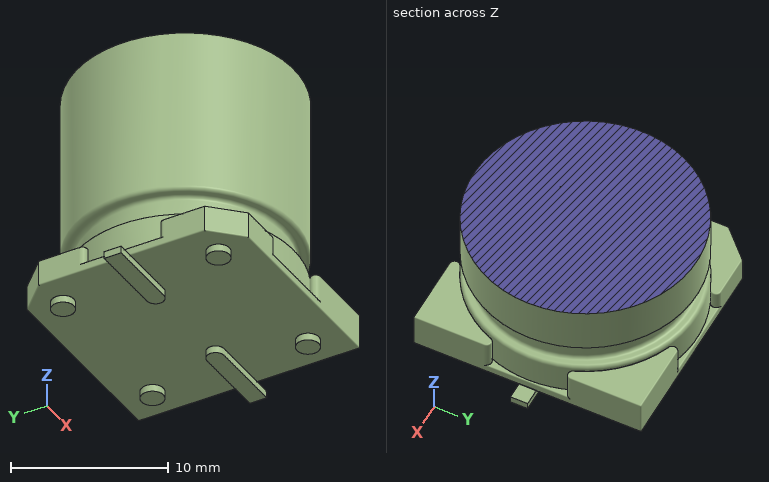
import cadquery as cq
import math

total_length = 18.6
total_height = 17.5
base_side = 16.3
can_diameter = 16.0
neck_diameter = 14.4
can_round = 0.3

base_bottom = 0.52
floor_top = 1.13
low_corner_top = 2.45
high_corner_top = 3.1
corner_chamfer = 2.05
edge_round = 0.1
tip_radius = 0.37

rim_top = 3.42
shoulder_bottom = 5.19

lead_width = 1.25
lead_inner_end = 3.22
foot_diameter = 1.6
foot_offset = 5.71

half_side = base_side / 2
can_radius = can_diameter / 2
neck_radius = neck_diameter / 2

tip_distance = half_side - tip_radius
tip_offset = math.sqrt((can_radius + tip_radius) ** 2 - tip_distance ** 2)


def make_can():
    """Revolved can: bottom rim, crimped neck and main body with rounded edges."""
    inset = can_round * (1 - math.sqrt(0.5))
    profile = (
        cq.Workplane("XZ")
        .moveTo(0, floor_top)
        .lineTo(can_radius, floor_top)
        .lineTo(can_radius, rim_top - can_round)
        .threePointArc((can_radius - inset, rim_top - inset), (can_radius - can_round, rim_top))
        .lineTo(neck_radius + can_round, rim_top)
        .threePointArc((neck_radius + inset, rim_top + inset), (neck_radius, rim_top + can_round))
        .lineTo(neck_radius, shoulder_bottom - can_round)
        .threePointArc(
            (neck_radius + inset, shoulder_bottom - inset),
            (neck_radius + can_round, shoulder_bottom),
        )
        .lineTo(can_radius - can_round, shoulder_bottom)
        .threePointArc(
            (can_radius - inset, shoulder_bottom + inset),
            (can_radius, shoulder_bottom + can_round),
        )
        .lineTo(can_radius, total_height - can_round)
        .threePointArc(
            (can_radius - inset, total_height - inset),
            (can_radius - can_round, total_height),
        )
        .lineTo(0, total_height)
        .close()
    )
    return profile.revolve(360, (0, 0, 0), (0, 1, 0))


def make_base_plate():
    """Thin square plate under the can, chamfered at the two -X corners."""
    plate = (
        cq.Workplane("XY", origin=(0, 0, base_bottom))
        .rect(base_side, base_side)
        .extrude(floor_top - base_bottom)
        .edges("|Z and <X")
        .chamfer(corner_chamfer)
        .edges("|Z and >X")
        .fillet(edge_round)
    )
    return plate.faces("<Z or >Z").edges().fillet(edge_round)


def make_corner_block(x_sign, y_sign, top, chamfered):
    """Block that fills one base corner and hugs the can with two rounded tips."""
    pocket_share = can_radius / (can_radius + tip_radius)
    touch_near = tip_offset * pocket_share
    touch_far = tip_distance * pocket_share
    pocket_mid = can_radius * math.sqrt(0.5)
    tip_edge = tip_offset - tip_radius
    block_bottom = base_bottom + edge_round
    block = (
        cq.Workplane("XY", origin=(0, 0, block_bottom))
        .moveTo(half_side, half_side)
        .lineTo(tip_offset, half_side)
        .threePointArc((tip_edge, tip_distance), (touch_near, touch_far))
        .threePointArc((pocket_mid, pocket_mid), (touch_far, touch_near))
        .threePointArc((tip_distance, tip_edge), (half_side, tip_offset))
        .close()
        .extrude(top - block_bottom)
    )
    outer_corner = block.edges(cq.selectors.NearestToPointSelector((half_side, half_side, top / 2)))
    if chamfered:
        block = outer_corner.chamfer(corner_chamfer)
    else:
        block = outer_corner.fillet(edge_round)
    block = block.faces(">Z").edges().fillet(edge_round)
    if x_sign < 0:
        block = block.mirror("YZ")
    if y_sign < 0:
        block = block.mirror("XZ")
    return block


def make_lead(x_sign):
    """Flat lead with a rounded inner end, reaching out past the base."""
    lead_radius = lead_width / 2
    outer_end = total_length / 2
    round_start = lead_inner_end + lead_radius
    return (
        cq.Workplane("XY")
        .moveTo(x_sign * outer_end, -lead_radius)
        .lineTo(x_sign * round_start, -lead_radius)
        .threePointArc((x_sign * lead_inner_end, 0), (x_sign * round_start, lead_radius))
        .lineTo(x_sign * outer_end, lead_radius)
        .close()
        .extrude(base_bottom)
    )


result = make_base_plate().union(make_can())

for x_sign, top, chamfered in ((-1, low_corner_top, True), (1, high_corner_top, False)):
    for y_sign in (-1, 1):
        result = result.union(make_corner_block(x_sign, y_sign, top, chamfered))
    result = result.union(make_lead(x_sign))

feet = (
    cq.Workplane("XY")
    .rect(2 * foot_offset, 2 * foot_offset, forConstruction=True)
    .vertices()
    .circle(foot_diameter / 2)
    .extrude(base_bottom)
)
result = result.union(feet)